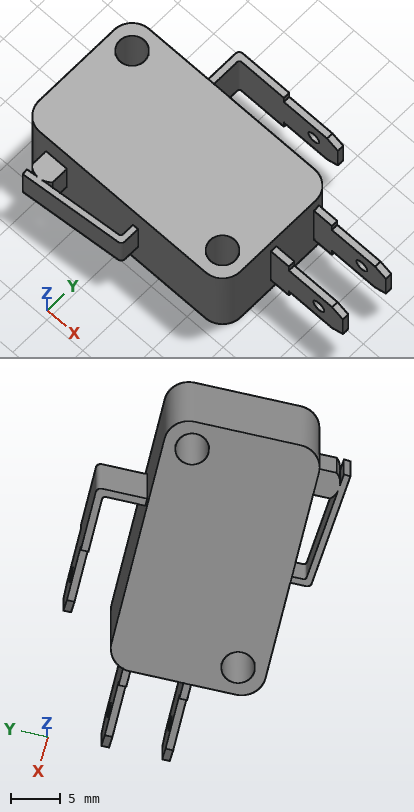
import cadquery as cq
import math

BODY_LENGTH = 28.0
BODY_WIDTH = 16.0
BODY_HEIGHT = 10.35
BODY_CORNER_RADIUS = 2.5
MOUNT_HOLE_DIAMETER = 3.4
MOUNT_HOLE_X = 11.05
MOUNT_HOLE_Y = 5.03

BLADE_THICKNESS = 0.8
BLADE_NECK_HEIGHT = 6.5
BLADE_TAB_HEIGHT = 4.7
BLADE_TAB_LENGTH = 7.5
BLADE_TIP_TAPER_LENGTH = 1.5
BLADE_TIP_HEIGHT = 3.3
BLADE_HOLE_DIAMETER = 1.5
BLADE_HOLE_FROM_TIP = 3.35
END_TERMINAL_REACH = 10.0
END_TERMINAL_YS = (5.65, -0.65)

BENT_TERMINAL_REACH = 5.2
BENT_TERMINAL_START_X = -3.95
BENT_TERMINAL_TIP_X = 10.55

ACTUATOR_HEIGHT = 4.0
PLUNGER_LEFT_X = -10.65
PLUNGER_WIDTH = 2.9
PLUNGER_SIDE_REACH = 2.05
PLUNGER_REACH = 2.7
LEVER_TIP_REACH = 3.5
LEVER_TIP_X = PLUNGER_LEFT_X
LEVER_BACK_X = 2.12
LEVER_THICKNESS = 0.7
LEVER_ANGLE = 5.0

BEND_OUTER_RADIUS = 0.5
BEND_INNER_RADIUS = 0.3

ROOT_DEPTH = 1.0

FRONT_Y = -BODY_WIDTH / 2
BACK_Y = BODY_WIDTH / 2
END_X = BODY_LENGTH / 2


def prism(outline, height):
    """Extrude an XY outline symmetrically about the Z = 0 plane."""
    return outline.extrude(height / 2, both=True)


def round_bend(sheet, outer_corner, inner_corner):
    """Round the outer and inner vertical edges of a sheet metal bend."""
    for (x, y), radius in ((outer_corner, BEND_OUTER_RADIUS), (inner_corner, BEND_INNER_RADIUS)):
        edge = cq.selectors.NearestToPointSelector((x, y, 0))
        sheet = sheet.edges("|Z").edges(edge).fillet(radius)
    return sheet


def make_housing():
    housing = cq.Workplane("XY").box(BODY_LENGTH, BODY_WIDTH, BODY_HEIGHT)
    return housing.edges("|Z").fillet(BODY_CORNER_RADIUS)


def cut_mount_holes(part):
    """Drill two through holes at diagonally opposite corners."""
    centers = [(-MOUNT_HOLE_X, MOUNT_HOLE_Y), (MOUNT_HOLE_X, -MOUNT_HOLE_Y)]
    drills = cq.Workplane("XY").pushPoints(centers).circle(MOUNT_HOLE_DIAMETER / 2)
    return part.cut(prism(drills, BODY_HEIGHT))


def make_blade(root_x, tip_x, center_y):
    """Make a blade in an XZ plane: wide neck, narrow tab, tapered tip and hole."""
    shoulder_x = tip_x - BLADE_TAB_LENGTH
    taper_x = tip_x - BLADE_TIP_TAPER_LENGTH
    upper_half = [
        (root_x, BLADE_NECK_HEIGHT / 2),
        (shoulder_x, BLADE_NECK_HEIGHT / 2),
        (shoulder_x, BLADE_TAB_HEIGHT / 2),
        (taper_x, BLADE_TAB_HEIGHT / 2),
        (tip_x, BLADE_TIP_HEIGHT / 2),
    ]
    lower_half = [(x, -z) for x, z in reversed(upper_half)]
    plane = cq.Workplane("XZ", origin=(0, center_y, 0))
    blade = prism(plane.polyline(upper_half + lower_half).close(), BLADE_THICKNESS)
    hole = plane.center(tip_x - BLADE_HOLE_FROM_TIP, 0).circle(BLADE_HOLE_DIAMETER / 2)
    return blade.cut(prism(hole, BLADE_THICKNESS))


def make_end_terminal(center_y):
    return make_blade(END_X - ROOT_DEPTH, END_X + END_TERMINAL_REACH, center_y)


def make_bent_terminal():
    """Make the L-shaped terminal that leaves the +Y side and turns toward +X."""
    outer_y = BACK_Y + BENT_TERMINAL_REACH
    inner_x = BENT_TERMINAL_START_X + BLADE_THICKNESS
    inner_y = outer_y - BLADE_THICKNESS
    blade = make_blade(BENT_TERMINAL_START_X, BENT_TERMINAL_TIP_X, (outer_y + inner_y) / 2)
    leg_outline = (
        cq.Workplane("XY")
        .moveTo(BENT_TERMINAL_START_X, BACK_Y - ROOT_DEPTH)
        .lineTo(inner_x, BACK_Y - ROOT_DEPTH)
        .lineTo(inner_x, outer_y)
        .lineTo(BENT_TERMINAL_START_X, outer_y)
        .close()
    )
    terminal = blade.union(prism(leg_outline, BLADE_NECK_HEIGHT)).clean()
    return round_bend(terminal, (BENT_TERMINAL_START_X, outer_y), (inner_x, inner_y))


def make_plunger():
    """Make the plunger with a nose rounded about the Z direction."""
    right_x = PLUNGER_LEFT_X + PLUNGER_WIDTH
    nose = (PLUNGER_LEFT_X + PLUNGER_WIDTH / 2, FRONT_Y - PLUNGER_REACH)
    outline = (
        cq.Workplane("XY")
        .moveTo(PLUNGER_LEFT_X, FRONT_Y + ROOT_DEPTH)
        .lineTo(PLUNGER_LEFT_X, FRONT_Y - PLUNGER_SIDE_REACH)
        .threePointArc(nose, (right_x, FRONT_Y - PLUNGER_SIDE_REACH))
        .lineTo(right_x, FRONT_Y + ROOT_DEPTH)
        .close()
    )
    return prism(outline, ACTUATOR_HEIGHT)


def make_lever():
    """Make the bent lever: a straight leg and an arm sloping away from the housing."""
    angle = math.radians(LEVER_ANGLE)
    tip_outer = (LEVER_TIP_X + LEVER_THICKNESS * math.sin(angle), FRONT_Y - LEVER_TIP_REACH)
    tip_inner = (LEVER_TIP_X, tip_outer[1] + LEVER_THICKNESS * math.cos(angle))
    leg_inner_x = LEVER_BACK_X - LEVER_THICKNESS
    outer_corner = (LEVER_BACK_X, tip_outer[1] + (LEVER_BACK_X - tip_outer[0]) * math.tan(angle))
    inner_corner = (leg_inner_x, tip_inner[1] + (leg_inner_x - tip_inner[0]) * math.tan(angle))
    root_y = FRONT_Y + ROOT_DEPTH
    points = [
        tip_outer,
        outer_corner,
        (LEVER_BACK_X, root_y),
        (leg_inner_x, root_y),
        inner_corner,
        tip_inner,
    ]
    lever = prism(cq.Workplane("XY").polyline(points).close(), ACTUATOR_HEIGHT)
    return round_bend(lever, outer_corner, inner_corner)


part = make_housing()
for terminal_y in END_TERMINAL_YS:
    part = part.union(make_end_terminal(terminal_y))
part = part.union(make_bent_terminal())
part = part.union(make_plunger())
part = part.union(make_lever())
result = cut_mount_holes(part)